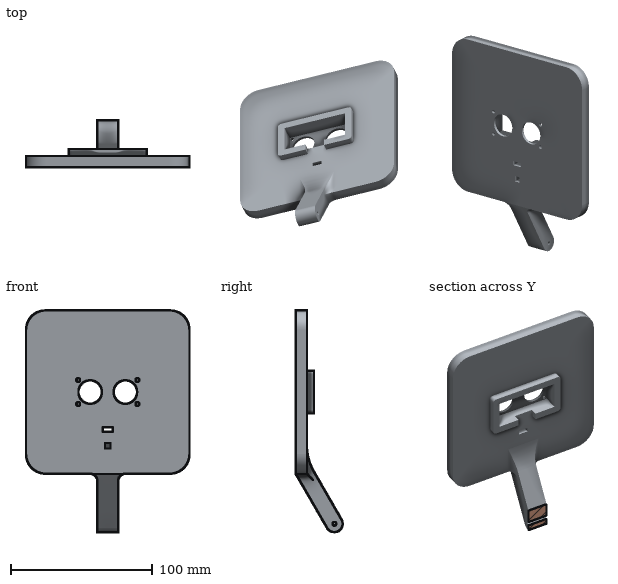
import cadquery as cq
import math

PLATE_SIZE = 116.0
PLATE_THICKNESS = 8.0
PLATE_CORNER_RADIUS = 14.0
PLATE_BOTTOM = -PLATE_SIZE / 2

POCKET_WIDTH = 45.5
POCKET_HEIGHT = 20.5
FRAME_WALL = 5.0
FRAME_WIDTH = POCKET_WIDTH + 2 * FRAME_WALL
FRAME_HEIGHT = POCKET_HEIGHT + 2 * FRAME_WALL
FRAME_DEPTH = 5.0
FRAME_CORNER_RADIUS = 2.5
FRAME_BACK = PLATE_THICKNESS + FRAME_DEPTH
POCKET_FLOOR = 2.0
NOTCH_WIDTH = 14.0
NOTCH_DEPTH = 5.0

EYE_DIAMETER = 16.5
EYE_SPACING = 25.0
SCREW_DIAMETER = 2.5
SCREW_SPACING_X = 42.0
SCREW_SPACING_Z = 17.0
SLOT_WIDTH = 7.0
SLOT_HEIGHT = 3.0
SLOT_Z = -26.5
RECESS_WIDTH = 4.0
RECESS_HEIGHT = 4.0
RECESS_Z = -38.0
RECESS_DEPTH = 6.0

ARM_WIDTH = 15.0
ARM_THICKNESS = 12.0
ARM_TILT = math.radians(30)
ARM_LENGTH = 44.35
ARM_BEND_RADIUS = 37.0
ARM_FILLET = 5.0
PIN_DIAMETER = 2.5


def box(width, height, y_start, y_end, z=0.0):
    """Block centred on x = 0 and on height z, reaching from y_start to y_end."""
    depth = y_end - y_start
    return cq.Workplane("XY").box(width, depth, height).translate((0, y_start + depth / 2, z))


def drill(points, diameter):
    """Round cutters along Y, through the plate and its frame."""
    return cq.Workplane("XZ").pushPoints(points).circle(diameter / 2).extrude(-FRAME_BACK)


def make_plate():
    plate = box(PLATE_SIZE, PLATE_SIZE, 0, PLATE_THICKNESS).edges("|Y").fillet(PLATE_CORNER_RADIUS)
    frame = box(FRAME_WIDTH, FRAME_HEIGHT, PLATE_THICKNESS, FRAME_BACK)
    return plate.union(frame.edges("|Y").fillet(FRAME_CORNER_RADIUS))


def cut_openings(body):
    """Pocket with its notched lower wall, sensor holes, slot and recess."""
    eyes = [(side * EYE_SPACING / 2, 0) for side in (-1, 1)]
    screws = [
        (side * SCREW_SPACING_X / 2, level * SCREW_SPACING_Z / 2)
        for side in (-1, 1)
        for level in (-1, 1)
    ]
    body = body.cut(box(POCKET_WIDTH, POCKET_HEIGHT, POCKET_FLOOR, FRAME_BACK))
    notch_z = -(POCKET_HEIGHT + FRAME_WALL) / 2
    body = body.cut(box(NOTCH_WIDTH, FRAME_WALL, FRAME_BACK - NOTCH_DEPTH, FRAME_BACK, notch_z))
    body = body.cut(drill(eyes, EYE_DIAMETER))
    body = body.cut(drill(screws, SCREW_DIAMETER))
    body = body.cut(box(SLOT_WIDTH, SLOT_HEIGHT, 0, PLATE_THICKNESS, SLOT_Z))
    return body.cut(box(RECESS_WIDTH, RECESS_HEIGHT, 0, RECESS_DEPTH, RECESS_Z))


def arm_point(along, across):
    """(y, z) of a point along the arm's lean and across it from its front face."""
    y = along * math.sin(ARM_TILT) + across * math.cos(ARM_TILT)
    z = PLATE_BOTTOM - along * math.cos(ARM_TILT) + across * math.sin(ARM_TILT)
    return (y, z)


def make_arm_profile(width):
    """Arm body, with its back face curving tangentially into the plate's back."""
    bend_along = (PLATE_THICKNESS - ARM_THICKNESS * math.cos(ARM_TILT)) / math.sin(ARM_TILT)
    bend_z = arm_point(bend_along, ARM_THICKNESS)[1]
    tangent_length = ARM_BEND_RADIUS * math.tan(ARM_TILT / 2)
    bend_top = bend_z + tangent_length
    bend_middle = (
        PLATE_THICKNESS + ARM_BEND_RADIUS * (1 - math.cos(ARM_TILT / 2)),
        bend_top - ARM_BEND_RADIUS * math.sin(ARM_TILT / 2),
    )
    return (
        cq.Workplane("YZ")
        .moveTo(*arm_point(0, 0))
        .lineTo(*arm_point(ARM_LENGTH, 0))
        .threePointArc(
            arm_point(ARM_LENGTH + ARM_THICKNESS / 2, ARM_THICKNESS / 2),
            arm_point(ARM_LENGTH, ARM_THICKNESS),
        )
        .lineTo(*arm_point(bend_along + tangent_length, ARM_THICKNESS))
        .threePointArc(bend_middle, (PLATE_THICKNESS, bend_top))
        .lineTo(PLATE_THICKNESS, PLATE_BOTTOM)
        .close()
        .extrude(width / 2, both=True)
    )


def flare_outline(plane, wall, inner, outer):
    """Arm width outline that flares with concave fillets onto a wall.

    The second coordinate runs from inner (plate side) past wall to outer (arm end).
    """
    away = math.copysign(1, outer - wall)
    half = ARM_WIDTH / 2
    wide = half + ARM_FILLET
    fillet_end = wall + away * ARM_FILLET
    sagitta = ARM_FILLET * (1 - math.sqrt(0.5))
    middle = (half + sagitta, wall + away * sagitta)
    return (
        plane.moveTo(-wide, inner)
        .lineTo(wide, inner)
        .lineTo(wide, wall)
        .threePointArc(middle, (half, fillet_end))
        .lineTo(half, outer)
        .lineTo(-half, outer)
        .lineTo(-half, fillet_end)
        .threePointArc((-middle[0], middle[1]), (-wide, wall))
        .close()
    )


def make_arm():
    """Arm whose side fillets onto the plate's back and bottom meet in a mitre."""
    arm = make_arm_profile(ARM_WIDTH + 2 * ARM_FILLET)
    reach_y = ARM_LENGTH + ARM_THICKNESS
    reach_z = PLATE_BOTTOM - reach_y
    back_flare = flare_outline(cq.Workplane("XY"), PLATE_THICKNESS, 0, reach_y)
    bottom_flare = flare_outline(cq.Workplane("XZ"), PLATE_BOTTOM, 0, reach_z)
    arm = arm.intersect(back_flare.extrude(reach_z))
    arm = arm.intersect(bottom_flare.extrude(-reach_y))
    pin = (
        cq.Workplane("YZ")
        .center(*arm_point(ARM_LENGTH, ARM_THICKNESS / 2))
        .circle(PIN_DIAMETER / 2)
        .extrude(ARM_WIDTH, both=True)
    )
    return arm.cut(pin)


result = cut_openings(make_plate()).union(make_arm())